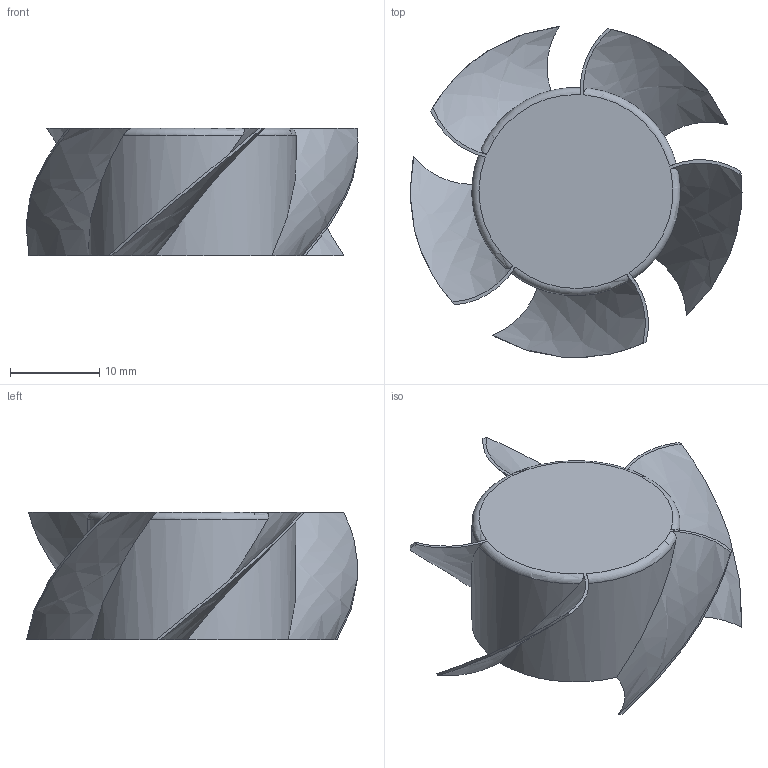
import cadquery as cq
import math

height = 14.3
hub_radius = 11.7
hub_edge_fillet = 0.8

blade_count = 5
tip_radius = 18.65
blade_twist = 53.9
blade_thickness = 0.35
root_angle = 87.6
tip_angle = 79.05
camber_radius = 8.7
root_overlap = 1.1
tip_overlap = 0.8


def polar(radius, angle):
    """Point at a radius and an angle in degrees about the Z axis."""
    return radius * math.cos(math.radians(angle)), radius * math.sin(math.radians(angle))


def camber_center():
    """Centre of the blade's section arc, on the clockwise side of the root-to-tip chord."""
    root_x, root_y = polar(hub_radius, root_angle)
    tip_x, tip_y = polar(tip_radius, tip_angle)
    chord_x = tip_x - root_x
    chord_y = tip_y - root_y
    chord = math.hypot(chord_x, chord_y)
    offset = math.sqrt(camber_radius**2 - (chord / 2) ** 2)
    center_x = (root_x + tip_x) / 2 + offset * chord_y / chord
    center_y = (root_y + tip_y) / 2 - offset * chord_x / chord
    return center_x, center_y


def make_hub():
    """Solid drum with a rounded top edge."""
    hub = cq.Workplane("XY").circle(hub_radius).extrude(height)
    return hub.faces(">Z").edges().fillet(hub_edge_fillet)


def make_blade():
    """Curved strip twisted up the hub."""
    center_x, center_y = camber_center()
    inner_radius = camber_radius - blade_thickness
    root_x, root_y = polar(hub_radius, root_angle)
    tip_x, tip_y = polar(tip_radius, tip_angle)
    root_direction = math.degrees(math.atan2(root_y - center_y, root_x - center_x)) % 360
    tip_direction = math.degrees(math.atan2(tip_y - center_y, tip_x - center_x)) % 360
    start = root_direction + math.degrees(root_overlap / camber_radius)
    end = tip_direction - math.degrees(tip_overlap / camber_radius)
    middle = (start + end) / 2

    def on_arc(radius, angle):
        """Point at a radius and an angle about the section's arc centre."""
        x, y = polar(radius, angle)
        return center_x + x, center_y + y

    section = (
        cq.Workplane("XY")
        .moveTo(*on_arc(camber_radius, start))
        .threePointArc(on_arc(camber_radius, middle), on_arc(camber_radius, end))
        .lineTo(*on_arc(inner_radius, end))
        .threePointArc(on_arc(inner_radius, middle), on_arc(inner_radius, start))
        .close()
    )
    strip = section.twistExtrude(height, blade_twist).rotate((0, 0, 0), (0, 0, 1), -blade_twist)
    return strip.intersect(cq.Workplane("XY").circle(tip_radius).extrude(height))


result = make_hub()
blade = make_blade()
for index in range(blade_count):
    turn = index * 360 / blade_count
    result = result.union(blade.rotate((0, 0, 0), (0, 0, 1), turn))